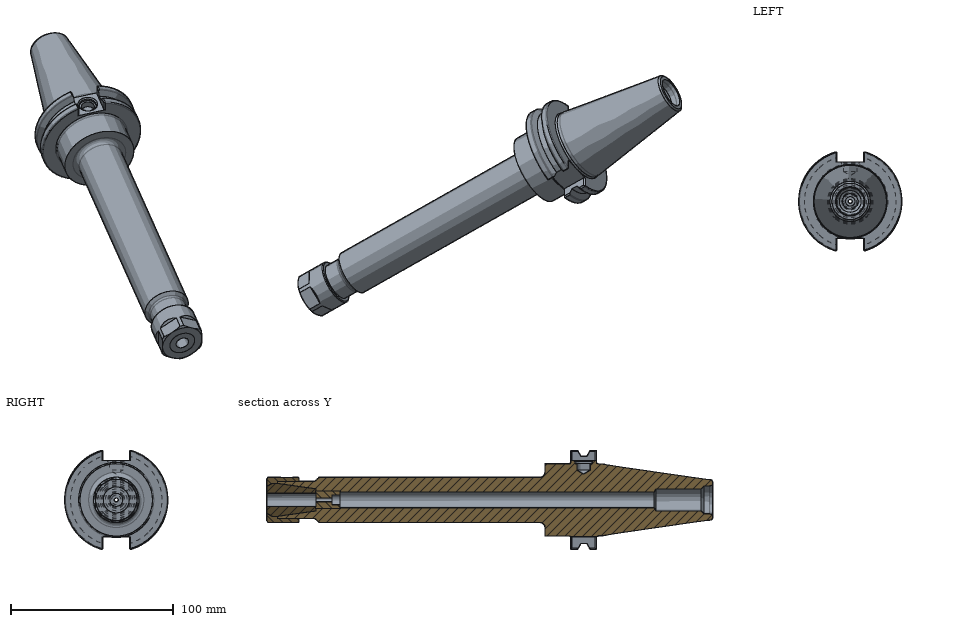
import cadquery as cq
import math


gauge_diameter = 44.45
taper_length = 68.4
taper_ratio = 7 / 24
small_end_chamfer_length = 0.9
small_end_chamfer_depth = 1.1

flange_diameter = 63.55
flange_front = 3.2
flange_back = 19.1
flange_edge_round = 0.6
groove_center = 10.95
groove_floor_diameter = 56.25
groove_floor_width = 3.7
groove_wall_angle = math.radians(30)
front_root_length = 1.2
front_root_height = 0.5
flange_back_root_round = 0.9

slot_width = 16.1
slot_edge_chamfer = 0.8
upper_slot_floor = 24.3
lower_slot_floor = 22.7
pocket_chamfer_diameter = 12.04
pocket_diameter = 10.5
pocket_depth = 2.0
pocket_drill_diameter = 8.0
pocket_drill_depth = 6.0
drill_half_angle = math.radians(59)

collar_diameter = 44.5
collar_end = 35.0
extension_diameter = 28.0
extension_fillet = 3.0
neck_start = 173.8
neck_diameter = 23.0
neck_root_round = 2.0
nut_start = 186.1
holder_end = 206.11
nose_end = holder_end - 6.5

mouth_diameter = 18.1
mouth_depth = 2.1
pilot_diameter = 17.01
pilot_depth = 5.5
pull_thread_diameter = 13.39
pull_thread_depth = 35.0
coolant_diameter = 9.46

collet_large_diameter = 20.07
collet_small_diameter = 13.39
collet_face_diameter = 16.0
collet_bore_diameter = 8.0
collet_half_angle = math.radians(8)
collet_face_angle = math.radians(30)
collet_taper_length = (collet_large_diameter - collet_small_diameter) / 2 / math.tan(collet_half_angle)
collet_face_length = (collet_large_diameter - collet_face_diameter) / 2 / math.tan(collet_face_angle)
collet_start = nose_end - collet_taper_length
collet_face_start = holder_end - collet_face_length

screw_diameter = 10.5
screw_length = 15.0
screw_socket_diameter = 5.8
screw_socket_depth = 5.0
screw_hole_diameter = 2.29
screw_start = collet_start - screw_length

nut_diameter = 28.0
nut_across_flats = 25.35
flat_count = 6
flat_start = 197.6
nut_back_chamfer = 0.6
nut_front_chamfer_length = 0.8
nut_front_chamfer_depth = 1.3


def revolve_profile(points):
    """Closed (x, radius) outline turned around the X axis."""
    return cq.Workplane("XY").polyline(points).close().revolve(360, (0, 0, 0), (1, 0, 0))


def cylinder(start, end, diameter):
    return cq.Workplane("YZ", origin=(start, 0, 0)).circle(diameter / 2).extrude(end - start)


def fillet_root(outline, x, radius, fillet):
    """Continue an (x, radius) outline down a shoulder at x and round its root onto a smaller radius."""
    arc_offset = fillet * (1 - math.sqrt(0.5))
    return outline.lineTo(x, radius + fillet).threePointArc(
        (x + arc_offset, radius + arc_offset),
        (x + fillet, radius),
    )


def arbor_outside():
    gauge_radius = gauge_diameter / 2
    small_radius = (gauge_diameter - taper_length * taper_ratio) / 2
    collar_radius = collar_diameter / 2
    extension_radius = extension_diameter / 2
    neck_radius = neck_diameter / 2
    root_x = neck_start + extension_radius - neck_radius + neck_root_round * math.tan(math.pi / 8)
    root_y = neck_radius + neck_root_round
    chamfer_end = small_end_chamfer_length - taper_length
    outline = (
        cq.Workplane("XY")
        .moveTo(-taper_length, 0)
        .lineTo(-taper_length, small_radius - small_end_chamfer_depth)
        .lineTo(chamfer_end, small_radius + small_end_chamfer_length * taper_ratio / 2)
        .lineTo(0, gauge_radius)
        .lineTo(flange_front - front_root_length, gauge_radius)
        .lineTo(flange_front, gauge_radius + front_root_height)
    )
    outline = fillet_root(outline, flange_back, collar_radius, flange_back_root_round)
    outline = outline.lineTo(collar_end, collar_radius)
    outline = fillet_root(outline, collar_end, extension_radius, extension_fillet)
    return (
        outline
        .lineTo(neck_start, extension_radius)
        .lineTo(root_x - neck_root_round * math.sqrt(0.5), root_y - neck_root_round * math.sqrt(0.5))
        .threePointArc(
            (root_x - neck_root_round * math.sin(math.pi / 8), root_y - neck_root_round * math.cos(math.pi / 8)),
            (root_x, neck_radius),
        )
        .lineTo(nose_end, neck_radius)
        .lineTo(nose_end, 0)
        .close()
        .revolve(360, (0, 0, 0), (1, 0, 0))
    )


def flange():
    outer_radius = flange_diameter / 2
    floor_radius = groove_floor_diameter / 2
    half_floor = groove_floor_width / 2
    half_mouth = half_floor + (outer_radius - floor_radius) * math.tan(groove_wall_angle)
    disc = cylinder(flange_front, flange_back, flange_diameter)
    groove = revolve_profile(
        [
            (groove_center - half_mouth, outer_radius),
            (groove_center - half_floor, floor_radius),
            (groove_center + half_floor, floor_radius),
            (groove_center + half_mouth, outer_radius),
        ]
    )
    rim = cq.selectors.RadiusNthSelector(-1)
    return disc.cut(groove).edges(rim).fillet(flange_edge_round)


def drive_slot(floor, side):
    """Slot across the flange with its long edges chamfered; side is +1 above the axis and -1 below it."""
    half_width = slot_width / 2
    wide_half = half_width + slot_edge_chamfer
    height = flange_diameter / 2
    rim_height = math.sqrt((flange_diameter / 2) ** 2 - wide_half**2)
    slot_outline = [
        (flange_front, -wide_half),
        (flange_front, wide_half),
        (flange_front + slot_edge_chamfer, half_width),
        (flange_back - slot_edge_chamfer, half_width),
        (flange_back, wide_half),
        (flange_back, -wide_half),
        (flange_back - slot_edge_chamfer, -half_width),
        (flange_front + slot_edge_chamfer, -half_width),
    ]
    slot = cq.Workplane("XY", origin=(0, 0, floor)).polyline(slot_outline).close().extrude(height)
    rim_chamfer = (
        cq.Workplane("YZ", origin=(flange_front, 0, 0))
        .polyline(
            [
                (half_width, rim_height - slot_edge_chamfer),
                (wide_half, rim_height),
                (wide_half, height),
                (-wide_half, height),
                (-wide_half, rim_height),
                (-half_width, rim_height - slot_edge_chamfer),
            ]
        )
        .close()
        .extrude(flange_back - flange_front)
    )
    slot = slot.union(rim_chamfer)
    if side < 0:
        slot = slot.rotate((0, 0, 0), (1, 0, 0), 180)
    return slot


def slot_pocket():
    """Chamfered counterbore with a pointed drill hole in the floor of the upper slot."""
    chamfer = (pocket_chamfer_diameter - pocket_diameter) / 2
    drill_radius = pocket_drill_diameter / 2
    drill_bottom = upper_slot_floor - pocket_drill_depth
    profile = [
        (0, upper_slot_floor),
        (pocket_chamfer_diameter / 2, upper_slot_floor),
        (pocket_diameter / 2, upper_slot_floor - chamfer),
        (pocket_diameter / 2, upper_slot_floor - pocket_depth),
        (drill_radius, upper_slot_floor - pocket_depth),
        (drill_radius, drill_bottom),
        (0, drill_bottom - drill_radius / math.tan(drill_half_angle)),
    ]
    pocket = cq.Workplane("XZ").polyline(profile).close().revolve(360, (0, 0, 0), (0, 1, 0))
    return pocket.translate(((flange_front + flange_back) / 2, 0, 0))


def arbor_bore():
    """Pull stud bore, coolant bore, stop screw bore and collet seat as one cutter."""
    pilot_radius = pilot_diameter / 2
    pull_radius = pull_thread_diameter / 2
    coolant_radius = coolant_diameter / 2
    screw_radius = screw_diameter / 2
    rear = -taper_length
    drill_tip = (pull_radius - coolant_radius) / math.tan(drill_half_angle)
    return revolve_profile(
        [
            (rear, 0),
            (rear, mouth_diameter / 2),
            (rear + mouth_depth, pilot_radius),
            (rear + pilot_depth, pilot_radius),
            (rear + pilot_depth + pilot_radius - pull_radius, pull_radius),
            (rear + pull_thread_depth, pull_radius),
            (rear + pull_thread_depth + drill_tip, coolant_radius),
            (screw_start, coolant_radius),
            (screw_start, screw_radius),
            (collet_start, screw_radius),
            (collet_start, collet_small_diameter / 2),
            (nose_end, collet_large_diameter / 2),
            (nose_end, 0),
        ]
    )


def make_arbor():
    arbor = arbor_outside().union(flange())
    arbor = arbor.cut(drive_slot(upper_slot_floor, 1))
    arbor = arbor.cut(drive_slot(lower_slot_floor, -1))
    return arbor.cut(slot_pocket()).cut(arbor_bore())


def collet_outside():
    return revolve_profile(
        [
            (collet_start, 0),
            (collet_start, collet_small_diameter / 2),
            (nose_end, collet_large_diameter / 2),
            (collet_face_start, collet_large_diameter / 2),
            (holder_end, collet_face_diameter / 2),
            (holder_end, 0),
        ]
    )


def make_collet():
    return collet_outside().cut(cylinder(collet_start, holder_end, collet_bore_diameter))


def make_stop_screw():
    screw = cylinder(screw_start, collet_start, screw_diameter)
    screw = screw.cut(cylinder(screw_start, screw_start + screw_socket_depth, screw_socket_diameter))
    return screw.cut(cylinder(screw_start, collet_start, screw_hole_diameter))


def nut_flat_cutter():
    """Material outside one wrench flat, with a 45 degree runout at its rear end."""
    flat_radius = nut_across_flats / 2
    flat_depth = nut_diameter / 2 - flat_radius
    return (
        cq.Workplane("XZ")
        .polyline(
            [
                (flat_start, flat_radius),
                (flat_start - flat_depth, nut_diameter / 2),
                (holder_end, nut_diameter / 2),
                (holder_end, flat_radius),
            ]
        )
        .close()
        .extrude(nut_diameter / 2, both=True)
    )


def make_nut():
    nut_radius = nut_diameter / 2
    nut = revolve_profile(
        [
            (nut_start, 0),
            (nut_start, nut_radius - nut_back_chamfer),
            (nut_start + nut_back_chamfer, nut_radius),
            (holder_end - nut_front_chamfer_length, nut_radius),
            (holder_end, nut_radius - nut_front_chamfer_depth),
            (holder_end, 0),
        ]
    )
    first_flat_angle = 180 / flat_count
    for index in range(flat_count):
        angle = first_flat_angle + index * 360 / flat_count
        nut = nut.cut(nut_flat_cutter().rotate((0, 0, 0), (1, 0, 0), angle))
    return nut.cut(cylinder(nut_start, nose_end, neck_diameter)).cut(collet_outside())


arbor = make_arbor()
nut = make_nut()
collet = make_collet()
stop_screw = make_stop_screw()

result = cq.Compound.makeCompound([arbor.val(), nut.val(), collet.val(), stop_screw.val()])